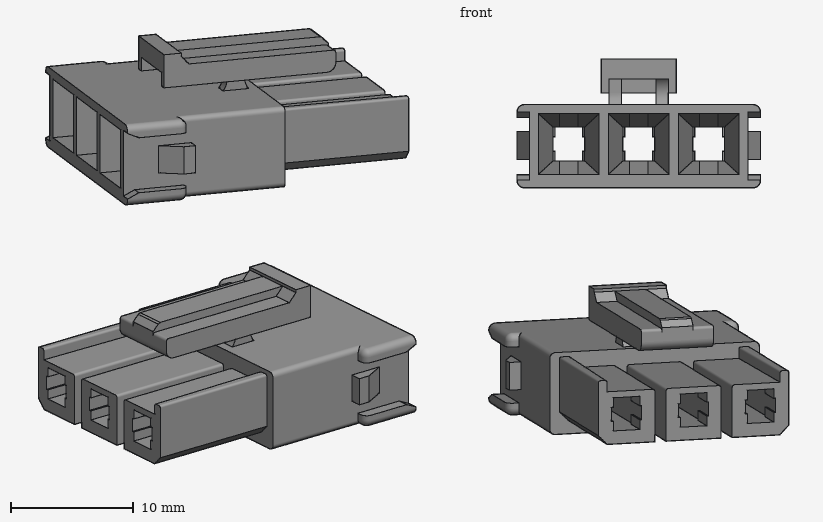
import cadquery as cq
import math


LENGTH = 25.0
BODY_WIDTH = 17.85
BODY_LENGTH = 14.0
BODY_HEIGHT = 6.8
BODY_EDGE_RADIUS = 0.45

FLANGE_WIDTH = 19.85
FLANGE_LENGTH = 5.25
FLANGE_EDGE_RADIUS = 0.6
LIP_THICKNESS = 1.08
LIP_FRONT_THICKNESS = 0.62
LIP_RAMP_LENGTH = 0.98

BUMP_START = 3.02
BUMP_CREST = 4.88
BUMP_END = 5.88
BUMP_BOTTOM = 2.3
BUMP_HEIGHT = 2.3

PITCH = 5.7
MIDDLE_BLADE_WIDTH = 4.7
OUTER_BLADE_WIDTH = 4.82
BLADE_BOTTOM = 1.1
BLADE_TOP = 5.48
BLADE_EDGE_RADIUS = 0.22
BLADE_CHAMFER = 0.78
RIB_TOP = 6.42
RIB_REAR_WIDTH = 0.75
RIB_FRONT_WIDTH = 0.95
RIB_EDGE_RADIUS = 0.2

MOUTH_SIZE = 4.95
MOUTH_CENTRE_Z = 3.58
FUNNEL_LENGTH = 4.75
FUNNEL_END = BODY_LENGTH
FUNNEL_START = FUNNEL_END - FUNNEL_LENGTH
GUIDE_WIDTH = 1.5
GUIDE_LENGTH = 3.62
GUIDE_START = FUNNEL_END - GUIDE_LENGTH
THROAT_WIDTH = 2.58
THROAT_HEIGHT = 2.75
THROAT_END = 22.5
REAR_WIDTH = 2.25
REAR_NOTCH_HEIGHT = 1.15

LEVER_WIDTH = 6.15
LEVER_FRONT = 5.6
LEVER_REAR = 20.48
LEVER_BOTTOM = 7.72
LEVER_SIDE_TOP = 9.55
LEVER_NOSE_RADIUS = 0.78
LEVER_SIDE_RADIUS = 0.25
HEAD_TOP = 10.52
HEAD_REAR = 7.1
HEAD_RAMP_LENGTH = 0.68
RIDGE_WIDTH = 2.65
RIDGE_TOP = 10.28
RIDGE_BEVEL_BOTTOM = 9.65
RIDGE_BEVEL = 0.52
RIDGE_TIP_LENGTH = 0.2

RECESS_WIDTH = 4.85
RECESS_TOP = 8.88
LEG_WIDTH = 1.02
LEG_CENTRE_Y = 12.05
LEG_WAIST = 1.52
LEG_FOOT = 2.22


def box(x_min, x_max, y_min, y_max, z_min, z_max):
    size = (x_max - x_min, y_max - y_min, z_max - z_min)
    return cq.Workplane("XY").box(*size, centered=False).translate((x_min, y_min, z_min))


def centred_box(width, y_min, y_max, z_min, z_max):
    return box(-width / 2, width / 2, y_min, y_max, z_min, z_max)


def side_profile(points, width):
    """Extrude a closed (y, z) outline symmetrically across X."""
    return cq.Workplane("YZ").polyline(points).close().extrude(width / 2, both=True)


def make_body():
    body = centred_box(BODY_WIDTH, 0, BODY_LENGTH, 0, BODY_HEIGHT)
    return body.edges("|Y").fillet(BODY_EDGE_RADIUS)


def make_flange():
    """Full-width front block, cut away at the sides to leave two lips per side."""
    flange = centred_box(FLANGE_WIDTH, 0, FLANGE_LENGTH, 0, BODY_HEIGHT)
    flange = flange.edges("|Y or >Y").fillet(FLANGE_EDGE_RADIUS)
    gap = [
        (0, LIP_FRONT_THICKNESS),
        (LIP_RAMP_LENGTH, LIP_THICKNESS),
        (FLANGE_LENGTH, LIP_THICKNESS),
        (FLANGE_LENGTH, BODY_HEIGHT - LIP_THICKNESS),
        (LIP_RAMP_LENGTH, BODY_HEIGHT - LIP_THICKNESS),
        (0, BODY_HEIGHT - LIP_FRONT_THICKNESS),
    ]
    return flange.cut(side_profile(gap, FLANGE_WIDTH))


def make_bumps():
    """One block through the body whose ends are the two ramped bumps."""
    inner = BODY_WIDTH / 2
    outer = FLANGE_WIDTH / 2
    outline = [
        (-inner, BUMP_START),
        (inner, BUMP_START),
        (outer, BUMP_CREST),
        (outer, BUMP_END),
        (-outer, BUMP_END),
        (-outer, BUMP_CREST),
    ]
    block = cq.Workplane("XY").workplane(offset=BUMP_BOTTOM).polyline(outline).close()
    return block.extrude(BUMP_HEIGHT)


def make_blade(width):
    blade = centred_box(width, BODY_LENGTH, LENGTH, BLADE_BOTTOM, BLADE_TOP)
    return blade.edges("|Y and >Z").fillet(BLADE_EDGE_RADIUS)


def make_outer_blade():
    """Blade for the +X end, with a tapering rib and a bevelled lower edge on its outer side."""
    outer = OUTER_BLADE_WIDTH / 2
    rib_outline = [
        (outer, BODY_LENGTH),
        (outer, LENGTH),
        (outer - RIB_REAR_WIDTH, LENGTH),
        (outer - RIB_FRONT_WIDTH, BODY_LENGTH),
    ]
    rib = cq.Workplane("XY").workplane(offset=BLADE_BOTTOM).polyline(rib_outline).close()
    rib = rib.extrude(RIB_TOP - BLADE_BOTTOM)
    rib = rib.faces(">Z").edges("not |X").fillet(RIB_EDGE_RADIUS)
    blade = make_blade(OUTER_BLADE_WIDTH).union(rib)
    bevel = cq.Workplane("XZ", origin=(outer, BODY_LENGTH, BLADE_BOTTOM))
    bevel = bevel.polyline([(0, 0), (-BLADE_CHAMFER, 0), (0, BLADE_CHAMFER)]).close()
    return blade.cut(bevel.extrude(BODY_LENGTH - LENGTH))


def funnel(mouth_width, throat_width, y_start):
    """Tapered passage from the mouth height down to the throat height."""
    start = cq.Workplane("XZ", origin=(0, y_start, MOUTH_CENTRE_Z))
    taper = start.rect(mouth_width, MOUTH_SIZE).workplane(offset=y_start - FUNNEL_END)
    return taper.rect(throat_width, THROAT_HEIGHT).loft(ruled=True)


def passage(width, height, y_min, y_max):
    z_min = MOUTH_CENTRE_Z - height / 2
    return centred_box(width, y_min, y_max, z_min, z_min + height)


def make_cavity():
    cavity = passage(MOUTH_SIZE, MOUTH_SIZE, 0, FUNNEL_START)
    cavity = cavity.union(funnel(MOUTH_SIZE, THROAT_WIDTH, FUNNEL_START))
    cavity = cavity.union(passage(GUIDE_WIDTH, MOUTH_SIZE, FUNNEL_START, GUIDE_START))
    cavity = cavity.union(funnel(GUIDE_WIDTH, GUIDE_WIDTH, GUIDE_START))
    cavity = cavity.union(passage(THROAT_WIDTH, THROAT_HEIGHT, FUNNEL_END, THROAT_END))
    cavity = cavity.union(passage(REAR_WIDTH, THROAT_HEIGHT, THROAT_END, LENGTH))
    return cavity.union(passage(THROAT_WIDTH, REAR_NOTCH_HEIGHT, THROAT_END, LENGTH))


def make_lever():
    ramp_end = HEAD_REAR + HEAD_RAMP_LENGTH
    slab = centred_box(LEVER_WIDTH, LEVER_FRONT, LEVER_REAR, LEVER_BOTTOM, LEVER_SIDE_TOP)
    slab = slab.edges(">Y and <Z").fillet(LEVER_NOSE_RADIUS)
    slab = slab.edges(">Y and >Z").fillet(LEVER_SIDE_RADIUS)
    head = [
        (LEVER_FRONT, LEVER_SIDE_TOP),
        (LEVER_FRONT, HEAD_TOP),
        (HEAD_REAR, HEAD_TOP),
        (HEAD_REAR, RIDGE_TOP),
        (ramp_end, LEVER_SIDE_TOP),
    ]
    bevel_end = LEVER_REAR - RIDGE_BEVEL
    ridge_base = LEVER_SIDE_TOP - LEVER_SIDE_RADIUS
    ridge = [
        (LEVER_FRONT, ridge_base),
        (LEVER_REAR, ridge_base),
        (LEVER_REAR, RIDGE_BEVEL_BOTTOM),
        (bevel_end, RIDGE_BEVEL_BOTTOM + RIDGE_BEVEL),
        (bevel_end - RIDGE_TIP_LENGTH, RIDGE_TOP),
        (LEVER_FRONT, RIDGE_TOP),
    ]
    lever = slab.union(side_profile(head, LEVER_WIDTH)).union(side_profile(ridge, RIDGE_WIDTH))
    inner = RECESS_WIDTH / 2
    block_front = LEG_CENTRE_Y - LEG_WAIST / 2
    recess = centred_box(RECESS_WIDTH, LEVER_FRONT, LEG_CENTRE_Y, LEVER_BOTTOM, RECESS_TOP)
    block = box(-inner, LEG_WIDTH - inner, block_front, LEG_CENTRE_Y, LEVER_BOTTOM, RECESS_TOP)
    return lever.cut(recess.cut(block))


def leg_reach(z):
    """Half thickness of a leg at height z: concave arcs, narrowest at the lever's underside."""
    waist = LEG_WAIST / 2
    flare = LEG_FOOT / 2 - waist
    foot_height = LEVER_BOTTOM - BODY_HEIGHT
    radius = (foot_height**2 + flare**2) / (2 * flare)
    return waist + radius - math.sqrt(radius**2 - (z - LEVER_BOTTOM) ** 2)


def make_leg(top):
    foot = LEG_FOOT / 2
    middle = (BODY_HEIGHT + top) / 2
    return (
        cq.Workplane("YZ", origin=(0, LEG_CENTRE_Y, 0))
        .moveTo(-foot, BODY_HEIGHT)
        .lineTo(foot, BODY_HEIGHT)
        .threePointArc((leg_reach(middle), middle), (leg_reach(top), top))
        .lineTo(-leg_reach(top), top)
        .threePointArc((-leg_reach(middle), middle), (-foot, BODY_HEIGHT))
        .close()
        .extrude(LEG_WIDTH / 2, both=True)
    )


housing = make_body().union(make_flange()).union(make_bumps())

outer_blade = make_outer_blade().translate((PITCH, 0, 0))
housing = housing.union(make_blade(MIDDLE_BLADE_WIDTH)).union(outer_blade).union(outer_blade.mirror("YZ"))

for position in (-1, 0, 1):
    housing = housing.cut(make_cavity().translate((position * PITCH, 0, 0)))

housing = housing.union(make_lever())
leg_x = (RECESS_WIDTH - LEG_WIDTH) / 2
housing = housing.union(make_leg(LEVER_BOTTOM).translate((-leg_x, 0, 0)))
housing = housing.union(make_leg(RECESS_TOP).translate((leg_x, 0, 0)))

result = housing